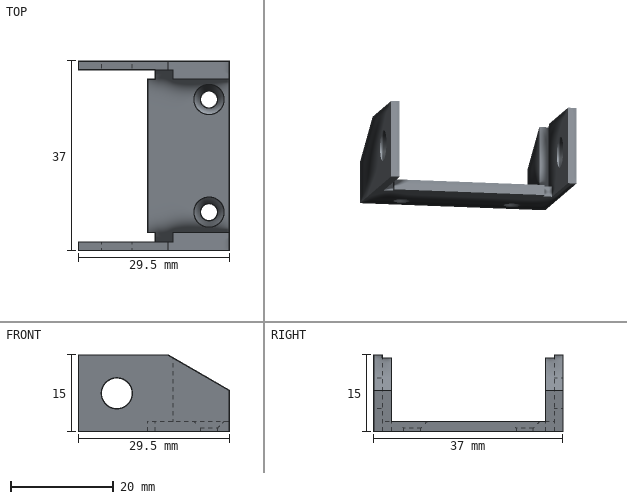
import cadquery as cq
import math

length = 29.5
width = 37.0
height = 15.0

thin_wall = 1.7
thick_wall = 3.5
thick_start_x = 18.5
slope_run = 12.0
slope_angle = 30.0
slope_drop = slope_run * math.tan(math.radians(slope_angle))

pivot_diameter = 6.0
pivot_x = height / 2
pivot_z = height / 2

floor_thickness = 2.0
floor_start_x = 13.5
tab_start_x = 15.0

screw_diameter = 3.3
screw_head_diameter = 5.9
screw_head_angle = 90.0
screw_x = 25.5
screw_spacing = 22.0


def box_between(x_start, x_end, y_size, z_size):
    """Box standing on Z = 0 and centred on Y = 0."""
    return (
        cq.Workplane("XY")
        .box(x_end - x_start, y_size, z_size, centered=(False, True, False))
        .translate((x_start, 0, 0))
    )


def sloped_block():
    """Full-width block with the side profile of the walls."""
    return (
        cq.Workplane("XZ")
        .moveTo(0, 0)
        .lineTo(length, 0)
        .lineTo(length, height - slope_drop)
        .lineTo(length - slope_run, height)
        .lineTo(0, height)
        .close()
        .extrude(width / 2, both=True)
    )


def side_walls():
    """Both side walls, left after clearing the space between them."""
    front_gap = box_between(0, thick_start_x, width - 2 * thin_wall, height)
    rear_gap = box_between(thick_start_x, length, width - 2 * thick_wall, height)
    return sloped_block().cut(front_gap).cut(rear_gap)


def floor_plate():
    """Floor with tabs that reach out to the thin walls."""
    main_plate = box_between(floor_start_x, length, width - 2 * thick_wall, floor_thickness)
    tabs = box_between(tab_start_x, thick_start_x, width - 2 * thin_wall, floor_thickness)
    return main_plate.union(tabs)


def pivot_bore():
    """Cylinder along Y that pierces both walls."""
    return (
        cq.Workplane("XZ")
        .center(pivot_x, pivot_z)
        .circle(pivot_diameter / 2)
        .extrude(width / 2, both=True)
    )


def drill_screw_holes(body):
    """Cut the countersunk holes down through the floor."""
    half_spacing = screw_spacing / 2
    return (
        body.copyWorkplane(cq.Workplane("XY", origin=(0, 0, floor_thickness)))
        .pushPoints([(screw_x, -half_spacing), (screw_x, half_spacing)])
        .cskHole(screw_diameter, screw_head_diameter, screw_head_angle, depth=floor_thickness)
    )


bracket = side_walls().union(floor_plate()).cut(pivot_bore())
result = drill_screw_holes(bracket)